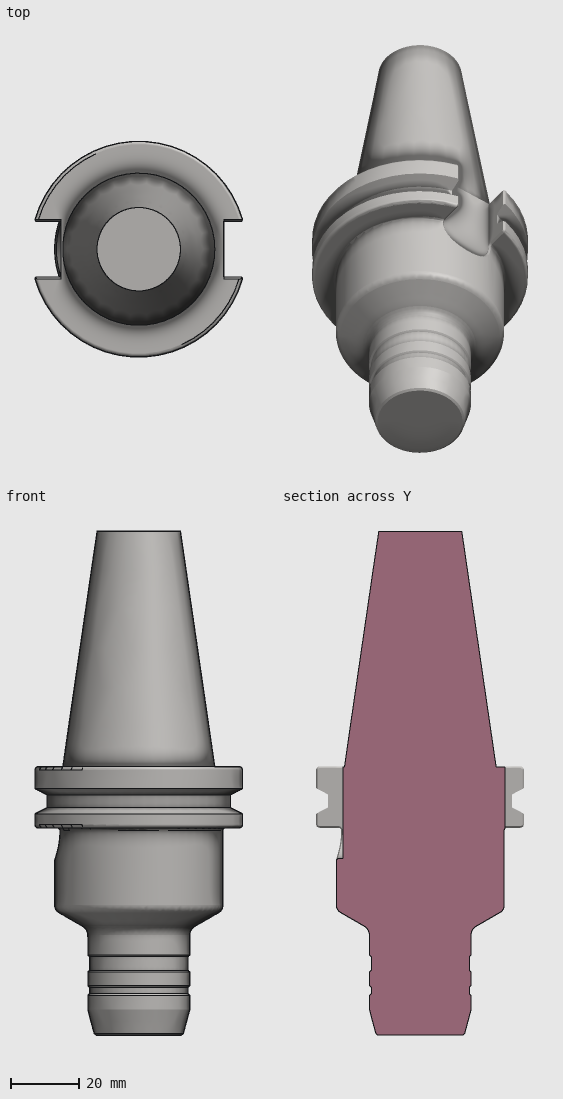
import cadquery as cq
import math

GAUGE_DIAMETER = 44.45
TAPER_LENGTH = 68.25
TAPER_RATIO = 7 / 24
SMALL_END_DIAMETER = GAUGE_DIAMETER - TAPER_RATIO * TAPER_LENGTH

FLANGE_DIAMETER = 63.5
FLANGE_TOP = -1.0
FLANGE_BOTTOM = -19.05
RIM_ROUND = 1.0

GROOVE_CENTRE = -11.17
GROOVE_ROOT_DIAMETER = 56.4
GROOVE_ROOT_WIDTH = 3.8
GROOVE_FLANK_ANGLE = 28.0

SLOT_WIDTH = 16.3
SLOT_BOTTOM = -28.0
SLOT_FLOOR_NEGATIVE_X = 22.8
SLOT_FLOOR_POSITIVE_X = 25.0
SLOT_CORNER_CHAMFER = 0.54

BODY_DIAMETER = 49.5
BODY_BOTTOM = -43.2
BODY_TOP_FILLET = 0.7
BODY_BOTTOM_ROUND = 2.5
SHOULDER_ANGLE = 30.0
SHANK_FILLET = 3.0

SHANK_DIAMETER = 30.0
RING_GROOVE_DIAMETER = 29.0
RING_GROOVES = [(-56.4, -61.4), (-65.4, -68.25)]
NOSE_TOP = -72.5
NOSE_BOTTOM = -80.0
NOSE_ANGLE = 15.0
NOSE_CHAMFER = 0.5

SELECTION_MARGIN = 0.1


def revolve(points):
    """Revolve a closed (radius, height) outline about the Z axis."""
    return cq.Workplane("XZ").polyline(points).close().revolve(360, (0, 0, 0), (0, 1, 0))


def circle_at(shape, diameter, height):
    """Select the circular edges of one diameter lying at one height."""
    outer = diameter / 2 + SELECTION_MARGIN
    inner = diameter / 2 - SELECTION_MARGIN

    def matches(edge):
        if edge.geomType() != "CIRCLE":
            return False
        at_height = abs(edge.Center().z - height) < SELECTION_MARGIN
        return at_height and inner < edge.radius() < outer

    return shape.edges().filter(matches)


def make_turned_body():
    """Taper, flange, body, shoulder cone and plain shank as one turned shape."""
    body_radius = BODY_DIAMETER / 2
    shank_radius = SHANK_DIAMETER / 2
    shoulder_drop = (body_radius - shank_radius) * math.tan(math.radians(SHOULDER_ANGLE))
    shoulder_bottom = BODY_BOTTOM - shoulder_drop
    nose_radius = shank_radius - (NOSE_TOP - NOSE_BOTTOM) * math.tan(math.radians(NOSE_ANGLE))
    taper_base_diameter = GAUGE_DIAMETER - TAPER_RATIO * FLANGE_TOP
    body = revolve([
        (0, TAPER_LENGTH),
        (SMALL_END_DIAMETER / 2, TAPER_LENGTH),
        (taper_base_diameter / 2, FLANGE_TOP),
        (FLANGE_DIAMETER / 2, FLANGE_TOP),
        (FLANGE_DIAMETER / 2, FLANGE_BOTTOM),
        (body_radius, FLANGE_BOTTOM),
        (body_radius, BODY_BOTTOM),
        (shank_radius, shoulder_bottom),
        (shank_radius, NOSE_TOP),
        (nose_radius, NOSE_BOTTOM),
        (0, NOSE_BOTTOM),
    ])
    for rim_height in (FLANGE_TOP, FLANGE_BOTTOM):
        body = circle_at(body, FLANGE_DIAMETER, rim_height).fillet(RIM_ROUND)
    body = circle_at(body, BODY_DIAMETER, FLANGE_BOTTOM).fillet(BODY_TOP_FILLET)
    body = circle_at(body, BODY_DIAMETER, BODY_BOTTOM).fillet(BODY_BOTTOM_ROUND)
    body = circle_at(body, SHANK_DIAMETER, shoulder_bottom).fillet(SHANK_FILLET)
    return circle_at(body, 2 * nose_radius, NOSE_BOTTOM).chamfer(NOSE_CHAMFER)


def make_v_groove():
    """Ring that cuts the V-groove with its flat root."""
    root_radius = GROOVE_ROOT_DIAMETER / 2
    rim_radius = FLANGE_DIAMETER / 2
    root_half = GROOVE_ROOT_WIDTH / 2
    rim_half = root_half + (rim_radius - root_radius) * math.tan(math.radians(GROOVE_FLANK_ANGLE))
    return revolve([
        (root_radius, GROOVE_CENTRE + root_half),
        (rim_radius, GROOVE_CENTRE + rim_half),
        (rim_radius, GROOVE_CENTRE - rim_half),
        (root_radius, GROOVE_CENTRE - root_half),
    ])


def make_ring_groove(top, bottom):
    """Ring that cuts one shallow groove with 45 degree flanks in the shank."""
    depth = (SHANK_DIAMETER - RING_GROOVE_DIAMETER) / 2
    return revolve([
        (RING_GROOVE_DIAMETER / 2, top - depth),
        (SHANK_DIAMETER / 2, top),
        (SHANK_DIAMETER / 2, bottom),
        (RING_GROOVE_DIAMETER / 2, bottom + depth),
    ])


def make_drive_slot(side, floor):
    """Round-bottomed slot cutter on the side (+1 or -1) of X, with a flat floor."""
    half_width = SLOT_WIDTH / 2
    arc_centre = SLOT_BOTTOM + half_width
    return (
        cq.Workplane("YZ", origin=(side * floor, 0, 0))
        .moveTo(-half_width, FLANGE_TOP)
        .lineTo(-half_width, arc_centre)
        .threePointArc((0, SLOT_BOTTOM), (half_width, arc_centre))
        .lineTo(half_width, FLANGE_TOP)
        .close()
        .extrude(side * (FLANGE_DIAMETER / 2 - floor))
    )


def chamfer_slot_corners(body):
    """Break the upright edges where the slot walls meet the flange rim."""
    corner_x = math.sqrt((FLANGE_DIAMETER / 2) ** 2 - (SLOT_WIDTH / 2) ** 2)

    def on_rim(edge):
        return abs(abs(edge.Center().x) - corner_x) < SELECTION_MARGIN

    return body.edges("|Z").filter(on_rim).chamfer(SLOT_CORNER_CHAMFER)


result = make_turned_body().cut(make_v_groove())
for groove_top, groove_bottom in RING_GROOVES:
    result = result.cut(make_ring_groove(groove_top, groove_bottom))
result = result.cut(make_drive_slot(-1, SLOT_FLOOR_NEGATIVE_X))
result = result.cut(make_drive_slot(1, SLOT_FLOOR_POSITIVE_X))
result = chamfer_slot_corners(result)